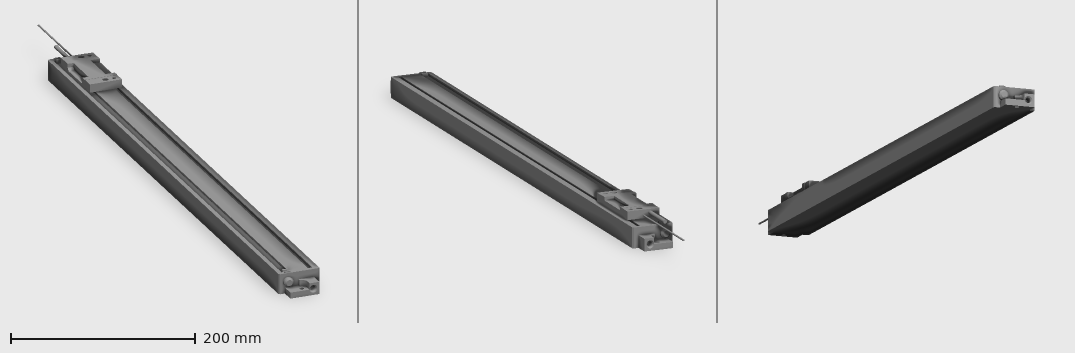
import cadquery as cq


rail_length = 643.0
rail_width = 47.9
rail_height = 23.5
channel_back_y = 17.0
channel_front_y = -19.0
groove_depth = 3.0
band_back_y = 12.5
band_front_y = -10.0
band_depth = 0.5

plate_thickness = 4.5
plate_chamfer = 1.5
bracket_length = 15.5
bracket_width = 34.0
bracket_height = 14.3
tongue_height = 7.0
step_y = -1.0
mount_hole_diameter = 5.0
mount_pocket_radius = 6.5
mount_hole_from_tip = 6.0
port_y = 10.0
port_z = 7.3
port_diameter = 6.0
port_sink_diameter = 9.0
port_depth = 10.0
port_sink_depth = (port_sink_diameter - port_diameter) / 2
plug_y = -13.6
plug_z = 13.6
plug_diameter = 11.0
plug_length = 5.0
plug_chamfer = 2.0
clip_length = 4.2
clip_notch_start = -1.5
clip_notch_end = 1.8
clip_back_y = -10.0
clip_front_y = -17.0
clip_top_z = 25.0

head_start = 20.5
head_length = 81.5
head_back_y = 19.2
head_front_y = -18.8
head_bottom_z = 25.0
head_top_z = 35.0
lug_length = 13.5
lug_drop = 0.3
recess_length = 42.0
recess_corner = 3.0
back_recess_y = 8.0
back_recess_depth = 4.0
front_recess_y = -12.0
front_recess_depth = 7.5
back_screw_diameter = 4.6
back_screw_y = 12.4
inner_screw_diameter = 3.2
inner_screw_recess_diameter = 7.0
inner_screw_recess_depth = 5.0
inner_screw_y = 2.5
foot_width = 19.0
foot_length = 60.0
gland_length = 39.5
gland_diameter = 4.4
gland_y = -8.0
gland_z = 30.6
cable_diameter = 2.0
cable_y = 0.0
cable_z = 28.2
cable_tip_x = -87.0

head_end = head_start + head_length
head_middle_x = head_start + head_length / 2


def block(x0, x1, y0, y1, z0, z1):
    """Box between two opposite corners."""
    return cq.Workplane("XY").box(x1 - x0, y1 - y0, z1 - z0, centered=False).translate((x0, y0, z0))


def rod(x, y, z, diameter, length):
    """Cylinder along +X starting at the given point."""
    return cq.Workplane("YZ", origin=(x, y, z)).circle(diameter / 2).extrude(length)


def make_rail():
    half_width = rail_width / 2
    groove_z = rail_height - groove_depth
    band_z = rail_height - band_depth
    profile = [
        (-half_width, 0),
        (half_width, 0),
        (half_width, rail_height),
        (channel_back_y, rail_height),
        (channel_back_y, groove_z),
        (band_back_y, groove_z),
        (band_back_y, band_z),
        (band_front_y, band_z),
        (band_front_y, groove_z),
        (channel_front_y, groove_z),
        (channel_front_y, rail_height),
        (-half_width, rail_height),
    ]
    return cq.Workplane("YZ").polyline(profile).close().extrude(rail_length)


def make_end_cap():
    """Cap for the rail end at X = 0."""
    plate = block(-plate_thickness, 0, -rail_width / 2, rail_width / 2, 0, rail_height)
    plate = plate.faces("<X").edges("|Z").chamfer(plate_chamfer)

    tip_x = -plate_thickness - bracket_length
    half_bracket = bracket_width / 2
    tongue = block(tip_x, -plate_thickness, -half_bracket, half_bracket, 0, tongue_height)
    tall_part = block(tip_x, -plate_thickness, step_y, half_bracket, 0, bracket_height)

    hole_x = tip_x + mount_hole_from_tip
    mount_hole = cq.Workplane("XY", origin=(hole_x, step_y, 0)).circle(mount_hole_diameter / 2)
    mount_hole = mount_hole.extrude(bracket_height)
    mount_pocket = cq.Workplane("XY", origin=(hole_x, step_y, tongue_height)).circle(mount_pocket_radius)
    mount_pocket = mount_pocket.extrude(bracket_height)
    pocket_mouth = block(tip_x, hole_x, step_y, step_y + mount_pocket_radius, tongue_height, bracket_height)
    mount_pocket = mount_pocket.union(pocket_mouth)

    port = rod(tip_x, port_y, port_z, port_diameter, port_depth)
    port_sink = cq.Workplane("YZ", origin=(tip_x, port_y, port_z)).circle(port_sink_diameter / 2)
    port_sink = port_sink.workplane(offset=port_sink_depth).circle(port_diameter / 2).loft()

    plug = rod(-plate_thickness - plug_length, plug_y, plug_z, plug_diameter, plug_length)
    plug = plug.faces("<X").chamfer(plug_chamfer)

    groove_z = rail_height - groove_depth
    clip = block(-plate_thickness + plate_chamfer, clip_length, clip_front_y, clip_back_y, groove_z, clip_top_z)
    clip = clip.cut(block(clip_notch_start, clip_notch_end, clip_front_y, clip_back_y, rail_height, clip_top_z))

    bracket = tongue.union(tall_part).cut(mount_pocket).cut(mount_hole).cut(port).cut(port_sink)
    return plate.union(bracket).union(plug).union(clip)


def make_reading_head():
    body = block(head_start, head_end, head_front_y, head_back_y, head_bottom_z, head_top_z)

    lug_top_z = head_top_z - lug_drop
    for lug_x in (head_start, head_end - lug_length):
        lug_end = lug_x + lug_length
        above_lug = block(lug_x, lug_end, head_front_y, head_back_y, lug_top_z, head_top_z)
        before_lug = block(lug_x, lug_end, head_front_y, head_front_y + lug_drop, head_bottom_z, head_top_z)
        body = body.cut(above_lug).cut(before_lug)
        lug_top = cq.Workplane("XY", origin=(lug_x + lug_length / 2, 0, lug_top_z))
        through = head_bottom_z - lug_top_z
        back_screw = lug_top.center(0, back_screw_y).circle(back_screw_diameter / 2).extrude(through)
        inner_axis = lug_top.center(0, inner_screw_y)
        inner_screw = inner_axis.circle(inner_screw_diameter / 2).extrude(through)
        inner_recess = inner_axis.circle(inner_screw_recess_diameter / 2).extrude(-inner_screw_recess_depth)
        body = body.cut(back_screw).cut(inner_screw).cut(inner_recess)

    recess_start = head_middle_x - recess_length / 2
    recess_end = head_middle_x + recess_length / 2
    back_recess = block(recess_start, recess_end, back_recess_y, head_back_y,
                        head_top_z - back_recess_depth, head_top_z)
    front_recess = block(recess_start, recess_end, head_front_y, front_recess_y,
                         head_top_z - front_recess_depth, head_top_z)
    front_recess = front_recess.faces("<Z").edges("|Y").chamfer(recess_corner)
    body = body.cut(back_recess).cut(front_recess)

    foot = block(head_middle_x - foot_length / 2, head_middle_x + foot_length / 2,
                 -foot_width / 2, foot_width / 2, rail_height - band_depth, head_bottom_z)
    gland = rod(head_start - gland_length, gland_y, gland_z, gland_diameter, gland_length)
    cable = rod(cable_tip_x, cable_y, cable_z, cable_diameter, head_start - cable_tip_x)
    return body.union(foot).union(gland).union(cable)


rail = make_rail()
start_cap = make_end_cap()
end_cap = make_end_cap().mirror("YZ").translate((rail_length, 0, 0))
reading_head = make_reading_head()

result = cq.Compound.makeCompound([
    rail.val(),
    start_cap.val(),
    end_cap.val(),
    reading_head.val(),
])